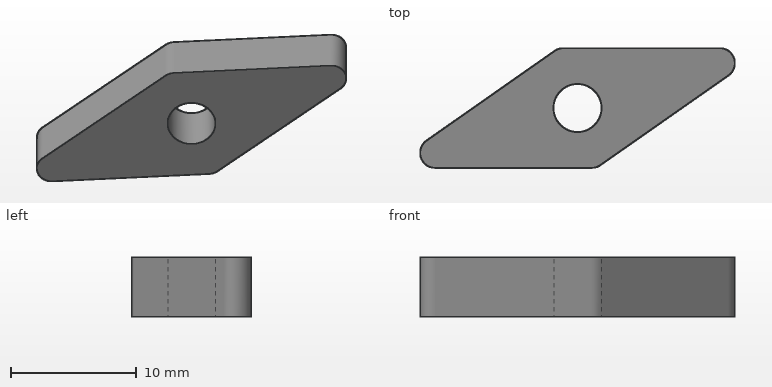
import cadquery as cq
import math

overall_length = 25.05
width = 9.55
thickness = 4.75
hole_diameter = 3.8
acute_angle = math.radians(35.0)

side = width / math.sin(acute_angle)
half_width = width / 2
tip_x = side * (1 + math.cos(acute_angle)) / 2
blunt_x = side - tip_x

shortening_per_radius = 1 / math.tan(acute_angle / 2) - 1
corner_radius = (tip_x - overall_length / 2) / shortening_per_radius


def make_body():
    """Rhombic plate with all four upright corners rounded."""
    corners = [
        (-tip_x, -half_width),
        (blunt_x, -half_width),
        (tip_x, half_width),
        (-blunt_x, half_width),
    ]
    plate = cq.Workplane("XY").polyline(corners).close().extrude(thickness)
    return plate.edges("|Z").fillet(corner_radius)


def make_hole():
    """Cylinder for the central through hole."""
    return cq.Workplane("XY").circle(hole_diameter / 2).extrude(thickness)


result = make_body().cut(make_hole())